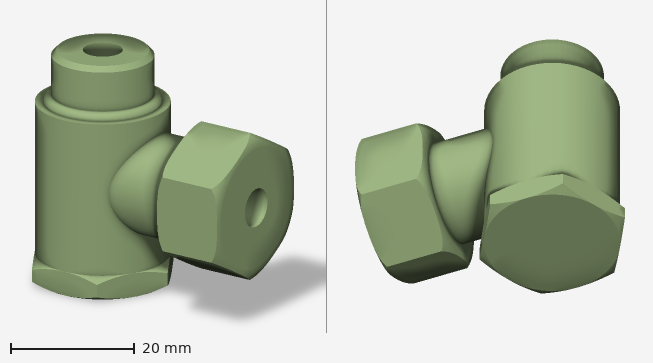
import cadquery as cq
import math

across_flats = 22.0
flat_radius = across_flats / 2
corner_radius = flat_radius / math.cos(math.pi / 6)
corner_diameter = 2 * corner_radius

total_height = 39.0
body_top = 30.15
base_hex_height = 4.1
base_chamfer_angle = math.radians(30)
stud_radius = 8.35
stud_chamfer = 0.85
bead_radius = 1.32

outlet_height = 18.0
pipe_radius = 8.5
overall_length = 42.7
outlet_end = overall_length - corner_radius
nut_length = 12.0
nut_start = outlet_end - nut_length
nut_face_radius = 10.25
nut_edge_round = 3.0

bore_radius = 3.25


def base_hexagon():
    """Hexagon with corners on X, cut back at the corners by a cone at each end."""
    chamfer_drop = (corner_radius - flat_radius) * math.tan(base_chamfer_angle)
    hexagon = cq.Workplane("XY").polygon(6, corner_diameter).extrude(base_hex_height)
    cone_envelope = (
        cq.Workplane("XZ")
        .lineTo(flat_radius, 0)
        .lineTo(corner_radius, chamfer_drop)
        .lineTo(corner_radius, base_hex_height - chamfer_drop)
        .lineTo(flat_radius, base_hex_height)
        .lineTo(0, base_hex_height)
        .close()
        .revolve(360, (0, 0, 0), (0, 1, 0))
    )
    return hexagon.intersect(cone_envelope)


def body_and_stud():
    """Round body, rounded sealing bead and chamfered stud as one turned shape."""
    arc_offset = bead_radius * math.sqrt(0.5)
    return (
        cq.Workplane("XZ")
        .lineTo(flat_radius, 0)
        .lineTo(flat_radius, body_top)
        .lineTo(stud_radius + bead_radius, body_top)
        .threePointArc(
            (stud_radius + arc_offset, body_top + arc_offset),
            (stud_radius, body_top + bead_radius),
        )
        .lineTo(stud_radius, total_height - stud_chamfer)
        .lineTo(stud_radius - stud_chamfer, total_height)
        .lineTo(0, total_height)
        .close()
        .revolve(360, (0, 0, 0), (0, 1, 0))
    )


def outlet_cylinder(radius):
    """Cylinder along the outlet axis, from the body axis to the outlet end."""
    return cq.Workplane("YZ").center(0, outlet_height).circle(radius).extrude(outlet_end)


def nut():
    """Hexagon nut with corners on Z and arc-rounded corners at both ends."""
    hexagon = (
        cq.Workplane("YZ", origin=(nut_start, 0, outlet_height))
        .transformed(rotate=(0, 0, 90))
        .polygon(6, corner_diameter)
        .extrude(nut_length)
    )
    round_envelope = (
        cq.Workplane("YZ", origin=(nut_start, 0, outlet_height))
        .circle(nut_face_radius + nut_edge_round)
        .extrude(nut_length)
        .edges("%CIRCLE")
        .fillet(nut_edge_round)
    )
    return hexagon.intersect(round_envelope)


def elbow_passage():
    """Bore from the stud top, turning through a spherical corner to the outlet end."""
    upright_bore = (
        cq.Workplane("XY", origin=(0, 0, outlet_height))
        .circle(bore_radius)
        .extrude(total_height - outlet_height)
    )
    corner = cq.Workplane("XY", origin=(0, 0, outlet_height)).sphere(bore_radius)
    return upright_bore.union(corner).union(outlet_cylinder(bore_radius))


result = (
    body_and_stud()
    .union(base_hexagon())
    .union(outlet_cylinder(pipe_radius))
    .union(nut())
    .cut(elbow_passage())
)